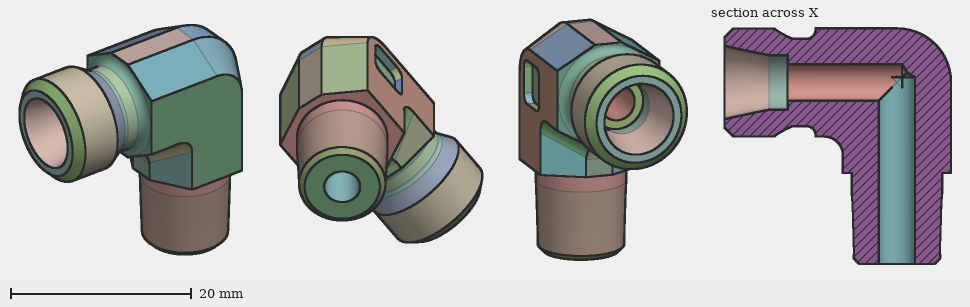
import cadquery as cq
import math

half_width = 6.0
flat_half_width = 1.56
bevel_angle = 30.0
bevel_drop = (half_width - flat_half_width) * math.tan(math.radians(bevel_angle))
shoulder = half_width - bevel_drop
side_leg_length = 9.0
down_leg_length = 10.0
inner_fillet = 2.0
cutter_margin = 1.3

stub_radius = 10.03 / 2
stub_end = 20.07
stub_straight = 2.03
stub_chamfer = 0.63
taper_per_length = 1 / 32

head_radius = 6.0
head_end = 19.08
head_chamfer = 1.02
head_cone_start = 13.63
groove_radius = 9.7 / 2
groove_root_fillet = 1.0
cone_angle = math.radians(30.0)
groove_blend_radius = 1.1

bore_radius = 4.0 / 2
bore_overrun = 0.57
drill_half_angle = math.radians(59.0)
seat_radius = 6.0 / 2
seat_mouth_radius = 8.1 / 2
seat_half_angle = math.radians(12.0)
seat_depth = 7.0

recess_size = 5.0
recess_corner = 1.0
recess_depth = 1.0
recess_offset = -0.52


def outer_half_section(plane):
    """Half of the leg section: full width at the axis, bevelled to a narrow outer flat."""
    return (
        cq.Workplane(plane)
        .polyline([
            (-half_width, 0),
            (half_width, 0),
            (half_width, shoulder),
            (flat_half_width, half_width),
            (-flat_half_width, half_width),
            (-half_width, shoulder),
        ])
        .close()
    )


def flat_corner_cutter():
    """Space in front of the inner flats, rounded where the flats meet."""
    return (
        cq.Workplane("XY")
        .box(2 * half_width, side_leg_length, down_leg_length, centered=(True, False, False))
        .translate((0, -half_width - side_leg_length, -half_width - down_leg_length))
        .edges(">Y and >Z")
        .fillet(inner_fillet)
    )


def bevel_corner_cutter():
    """Space in front of the +X inner bevels, rounded along the mitre where they meet."""
    slope = math.tan(math.radians(bevel_angle))
    width = half_width + cutter_margin
    inner_level = -half_width - flat_half_width * slope
    outer_level = inner_level + width * slope
    far_level = -side_leg_length - down_leg_length
    section = [
        (0, inner_level),
        (width, outer_level),
        (width, far_level),
        (0, far_level),
    ]
    below_bevel = cq.Workplane("XZ").polyline(section).close().extrude(-far_level)
    before_bevel = cq.Workplane("XY").polyline(section).close().extrude(far_level)
    mitre_middle = (width / 2, (inner_level + outer_level) / 2, (inner_level + outer_level) / 2)
    return (
        below_bevel.intersect(before_bevel)
        .edges(cq.selectors.NearestToPointSelector(mitre_middle))
        .fillet(inner_fillet)
    )


def make_body():
    bend = outer_half_section("XY").revolve(90, (0, 0, 0), (1, 0, 0))
    side_leg_top = outer_half_section("XZ").extrude(side_leg_length)
    down_leg_back = outer_half_section("XY").extrude(-down_leg_length)
    bevel_cutter = bevel_corner_cutter()
    inner_corner = (
        cq.Workplane("XY")
        .box(2 * half_width, side_leg_length, down_leg_length, centered=(True, False, False))
        .translate((0, -side_leg_length, -down_leg_length))
        .cut(flat_corner_cutter())
        .cut(bevel_cutter)
        .cut(bevel_cutter.mirror("YZ"))
    )
    return inner_corner.union(side_leg_top).union(down_leg_back).union(bend).clean()


def make_stub():
    taper_start = down_leg_length + stub_straight
    taper_end = stub_end - stub_chamfer
    tip_radius = stub_radius - (taper_end - taper_start) * taper_per_length
    return (
        cq.Workplane("XZ")
        .polyline([
            (0, 0),
            (stub_radius, 0),
            (stub_radius, -taper_start),
            (tip_radius, -taper_end),
            (tip_radius - stub_chamfer, -stub_end),
            (0, -stub_end),
        ])
        .close()
        .revolve(360, (0, 0, 0), (0, 1, 0))
    )


def make_head():
    root_end = side_leg_length + groove_root_fillet
    root_middle = groove_root_fillet * (1 - math.sqrt(0.5))
    blend_rise = groove_blend_radius * (1 - math.cos(cone_angle))
    blend_length = groove_blend_radius * math.sin(cone_angle)
    cone_rise = head_radius - groove_radius - blend_rise
    blend_end = head_cone_start - cone_rise / math.tan(cone_angle)
    blend_start = blend_end - blend_length
    blend_middle = (
        groove_radius + groove_blend_radius * (1 - math.cos(cone_angle / 2)),
        -blend_start - groove_blend_radius * math.sin(cone_angle / 2),
    )
    return (
        cq.Workplane("XY")
        .moveTo(0, 0)
        .lineTo(groove_radius, 0)
        .lineTo(groove_radius + groove_root_fillet, -side_leg_length)
        .threePointArc(
            (groove_radius + root_middle, -root_end + groove_root_fillet - root_middle),
            (groove_radius, -root_end),
        )
        .lineTo(groove_radius, -blend_start)
        .threePointArc(blend_middle, (groove_radius + blend_rise, -blend_end))
        .lineTo(head_radius, -head_cone_start)
        .lineTo(head_radius, -head_end + head_chamfer)
        .lineTo(head_radius - head_chamfer, -head_end)
        .lineTo(0, -head_end)
        .close()
        .revolve(360, (0, 0, 0), (0, 1, 0))
    )


def drilled_bore(plane, length):
    """Bore along the plane's local Y axis, with a conical drill point past the origin."""
    point_length = bore_radius / math.tan(drill_half_angle)
    return (
        cq.Workplane(plane)
        .polyline([
            (0, -length),
            (bore_radius, -length),
            (bore_radius, bore_overrun),
            (0, bore_overrun + point_length),
        ])
        .close()
        .revolve(360, (0, 0, 0), (0, 1, 0))
    )


def make_seat():
    cone_length = (seat_mouth_radius - seat_radius) / math.tan(seat_half_angle)
    return (
        cq.Workplane("XY")
        .polyline([
            (0, -head_end),
            (seat_mouth_radius, -head_end),
            (seat_radius, -head_end + cone_length),
            (seat_radius, -head_end + seat_depth),
            (0, -head_end + seat_depth),
        ])
        .close()
        .revolve(360, (0, 0, 0), (0, 1, 0))
    )


def make_recess():
    return (
        cq.Workplane("YZ")
        .box(recess_size, recess_size, recess_depth, centered=(True, True, False))
        .edges("|X")
        .fillet(recess_corner)
        .translate((-half_width, recess_offset, recess_offset))
    )


result = (
    make_body()
    .union(make_stub())
    .union(make_head())
    .cut(drilled_bore("XY", head_end))
    .cut(drilled_bore("XZ", stub_end))
    .cut(make_seat())
    .cut(make_recess())
)